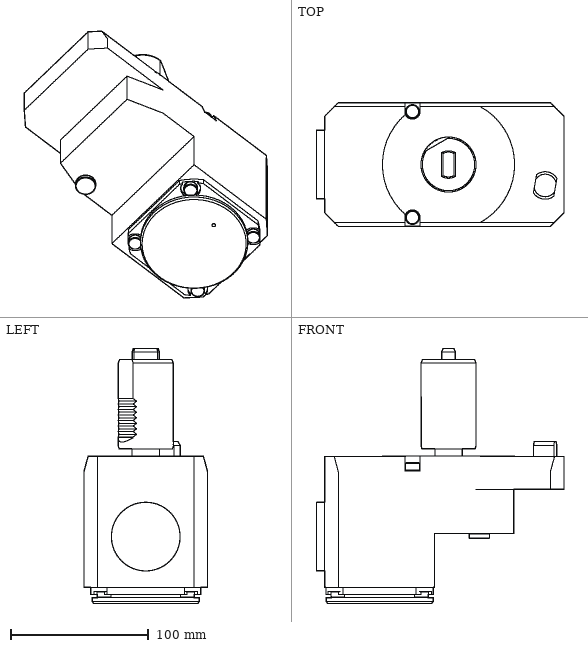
import cadquery as cq
import math


width_y = 90.0
left_x = -90.0
right_x = 84.0
lower_right_x = -10.0
block_right_x = 47.5
housing_top_z = -0.5
arm_bottom_z = -24.5
block_bottom_z = -56.5
lower_bottom_z = -95.5
corner_chamfer = 10.0
bevel_inset = 3.0
bevel_angle = 15.0
bevel_bottom_z = housing_top_z - bevel_inset / math.tan(math.radians(bevel_angle))
block_taper_start_x = 20.0
block_taper_inset = 8.5

pin_chamfer = 0.5

seat_diameter = 96.0
screw_x = -26.2
screw_y = 38.5
screw_diameter = 10.0
screw_top_z = -5.0
pocket_width = 11.0
pocket_floor_z = -11.0

neck_diameter = 20.0
shank_diameter = 40.0
shank_bottom_z = 5.0
shank_top_z = 70.0
shank_bottom_chamfer = (0.6, 2.0)
tip_chamfer = (1.0, 2.5)
tang_thickness = 10.0
tang_diameter = 20.0
tang_top_z = 78.0
flat_direction = 120.0
flat_distance = 16.8
tooth_pitch = 4.0
tooth_count = 7
tooth_depth = 1.6
first_tooth_z = 41.6
last_crest_width = 0.4
cutter_clearance = 1.0

locator_x = 70.2
locator_y = -15.2
locator_diameter = 20.0
locator_across_flats = 15.0
locator_top_z = 10.5
locator_turn = -10.0
locator_chamfer = (1.8, 3.0)

cover_diameter = 50.0
cover_x = -96.0
cover_z = -58.7
cover_chamfer = (0.1, 1.3)

collar_x = (left_x + lower_right_x) / 2
plate_size_x = 78.0
plate_size_y = 80.0
plate_corner_diameter = 96.0
plate_bottom_z = -100.9
collar_neck_diameter = 70.0
ring_diameter = 78.0
ring_top_z = -103.0
ring_bottom_z = -107.3
ring_chamfer = (1.2, 1.6)
collar_screw_offset = 30.4
collar_screw_diameter = 10.0
collar_recess_diameter = 14.4
collar_recess_top_z = -98.5
dowel_diameter = 2.5
dowel_y = 21.4
dowel_bottom_z = -107.46

stop_x = 22.4
stop_y = -37.2
stop_diameter = 14.8
stop_bottom_z = -60.2


def cylinder(x, y, diameter, z_low, z_high):
    return cq.Workplane("XY", origin=(x, y, z_low)).circle(diameter / 2).extrude(z_high - z_low)


def chamfered_pin(x, y, diameter, z_low, z_high):
    return cylinder(x, y, diameter, z_low, z_high).edges().chamfer(pin_chamfer)


def box(x_low, x_high, y_low, y_high, z_low, z_high):
    size = (x_high - x_low, y_high - y_low, z_high - z_low)
    return cq.Workplane("XY").box(*size, centered=False).translate((x_low, y_low, z_low))


def turned(diameter, length, end_chamfer, start_chamfer=(0.0, 0.0)):
    """Cylinder along +Z from the origin; each chamfer is (radial, axial)."""
    radius = diameter / 2
    profile = cq.Workplane("XZ").lineTo(radius - start_chamfer[0], 0)
    if start_chamfer[1] > 0:
        profile = profile.lineTo(radius, start_chamfer[1])
    profile = profile.lineTo(radius, length - end_chamfer[1]).lineTo(radius - end_chamfer[0], length)
    return profile.lineTo(0, length).close().revolve(360, (0, 0, 0), (0, 1, 0))


def make_housing():
    half_y = width_y / 2
    side = (
        cq.Workplane("XZ", origin=(0, half_y, 0))
        .moveTo(left_x, housing_top_z)
        .lineTo(right_x, housing_top_z)
        .lineTo(right_x, arm_bottom_z)
        .lineTo(block_right_x, arm_bottom_z)
        .lineTo(block_right_x, block_bottom_z)
        .lineTo(lower_right_x, block_bottom_z)
        .lineTo(lower_right_x, lower_bottom_z)
        .lineTo(left_x, lower_bottom_z)
        .close()
        .extrude(width_y)
    )
    plan = box(left_x, right_x, -half_y, half_y, lower_bottom_z, housing_top_z)
    plan = plan.edges("|Z").chamfer(corner_chamfer)
    bevelled = (
        cq.Workplane("YZ", origin=(left_x, 0, 0))
        .moveTo(-half_y, lower_bottom_z)
        .lineTo(half_y, lower_bottom_z)
        .lineTo(half_y, bevel_bottom_z)
        .lineTo(half_y - bevel_inset, housing_top_z)
        .lineTo(bevel_inset - half_y, housing_top_z)
        .lineTo(-half_y, bevel_bottom_z)
        .close()
        .extrude(right_x - left_x)
    )
    housing = side.intersect(plan).intersect(bevelled)
    for sign in (-1, 1):
        taper = (
            cq.Workplane("XY", origin=(0, 0, block_bottom_z))
            .moveTo(block_taper_start_x, sign * half_y)
            .lineTo(block_right_x, sign * half_y)
            .lineTo(block_right_x, sign * (half_y - block_taper_inset))
            .close()
            .extrude(arm_bottom_z - block_bottom_z)
        )
        housing = housing.cut(taper)
    return housing


def add_seat(housing):
    half_top = width_y / 2 - bevel_inset
    seat = cylinder(0, 0, seat_diameter, housing_top_z, 0)
    strip = box(left_x, right_x, -half_top, half_top, housing_top_z, 0)
    housing = housing.union(seat.intersect(strip))
    for sign in (-1, 1):
        y = sign * screw_y
        outer_y = sign * width_y / 2
        pocket = cylinder(screw_x, y, pocket_width, pocket_floor_z, 0)
        opening = box(
            screw_x - pocket_width / 2, screw_x + pocket_width / 2,
            min(y, outer_y), max(y, outer_y), pocket_floor_z, 0,
        )
        screw = chamfered_pin(screw_x, y, screw_diameter, pocket_floor_z, screw_top_z)
        housing = housing.cut(pocket).cut(opening).union(screw)
    return housing


def make_serration_cutter():
    """Flat with a row of V teeth below it, running out to the shank surface at 45 degrees."""
    root_distance = flat_distance - tooth_depth
    outer_distance = shank_diameter / 2 + cutter_clearance
    last_crest_z = first_tooth_z - tooth_count * tooth_pitch - last_crest_width
    run_out_z = last_crest_z - (outer_distance - flat_distance)
    profile = (
        cq.Workplane("XZ", origin=(0, shank_diameter / 2, 0))
        .moveTo(outer_distance, shank_top_z)
        .lineTo(flat_distance, shank_top_z)
        .lineTo(flat_distance, first_tooth_z)
    )
    for tooth in range(tooth_count):
        root_z = first_tooth_z - (tooth + 0.5) * tooth_pitch
        profile = profile.lineTo(root_distance, root_z)
        profile = profile.lineTo(flat_distance, root_z - tooth_pitch / 2)
    profile = profile.lineTo(flat_distance, last_crest_z).lineTo(outer_distance, run_out_z)
    cutter = profile.close().extrude(shank_diameter)
    return cutter.rotate((0, 0, 0), (0, 0, 1), flat_direction)


def make_spindle():
    neck = cylinder(0, 0, neck_diameter, housing_top_z, shank_bottom_z)
    shank_length = shank_top_z - shank_bottom_z
    shank = turned(shank_diameter, shank_length, tip_chamfer, shank_bottom_chamfer)
    shank = shank.translate((0, 0, shank_bottom_z)).cut(make_serration_cutter())
    tang = box(
        -tang_thickness / 2, tang_thickness / 2, -tang_diameter / 2, tang_diameter / 2,
        0, tang_top_z - shank_top_z,
    )
    tang = tang.faces(">Z").chamfer(tip_chamfer[1], tip_chamfer[0])
    tang = tang.intersect(turned(tang_diameter, tang_top_z - shank_top_z, tip_chamfer))
    return neck.union(shank).union(tang.translate((0, 0, shank_top_z)))


def make_locator():
    length = locator_top_z - housing_top_z
    half_flats = locator_across_flats / 2
    slab = box(-half_flats, half_flats, -locator_diameter, locator_diameter, 0, length)
    locator = turned(locator_diameter, length, locator_chamfer).intersect(slab)
    locator = locator.rotate((0, 0, 0), (0, 0, 1), locator_turn)
    return locator.translate((locator_x, locator_y, housing_top_z))


def make_cover():
    cover = turned(cover_diameter, left_x - cover_x, cover_chamfer)
    return cover.rotate((0, 0, 0), (0, 1, 0), -90).translate((left_x, 0, cover_z))


def make_collar():
    plate = box(
        collar_x - plate_size_x / 2, collar_x + plate_size_x / 2,
        -plate_size_y / 2, plate_size_y / 2, plate_bottom_z, lower_bottom_z,
    )
    plate = plate.intersect(cylinder(collar_x, 0, plate_corner_diameter, plate_bottom_z, lower_bottom_z))
    neck = cylinder(collar_x, 0, collar_neck_diameter, ring_top_z, lower_bottom_z)
    ring = turned(ring_diameter, ring_top_z - ring_bottom_z, ring_chamfer)
    ring = ring.rotate((0, 0, 0), (1, 0, 0), 180).translate((collar_x, 0, ring_top_z))
    dowel = cylinder(collar_x, dowel_y, dowel_diameter, dowel_bottom_z, ring_bottom_z)
    corners = [
        (collar_x + sign_x * collar_screw_offset, sign_y * collar_screw_offset)
        for sign_x in (-1, 1)
        for sign_y in (-1, 1)
    ]
    for x, y in corners:
        plate = plate.cut(cylinder(x, y, collar_recess_diameter, plate_bottom_z, collar_recess_top_z))
    collar = plate.union(neck).union(ring).union(dowel)
    for x, y in corners:
        collar = collar.union(chamfered_pin(x, y, collar_screw_diameter, ring_top_z, collar_recess_top_z))
    return collar


def make_stop_pin():
    return chamfered_pin(stop_x, stop_y, stop_diameter, stop_bottom_z, block_bottom_z)


result = (
    add_seat(make_housing())
    .union(make_spindle())
    .union(make_locator())
    .union(make_cover())
    .union(make_collar())
    .union(make_stop_pin())
)